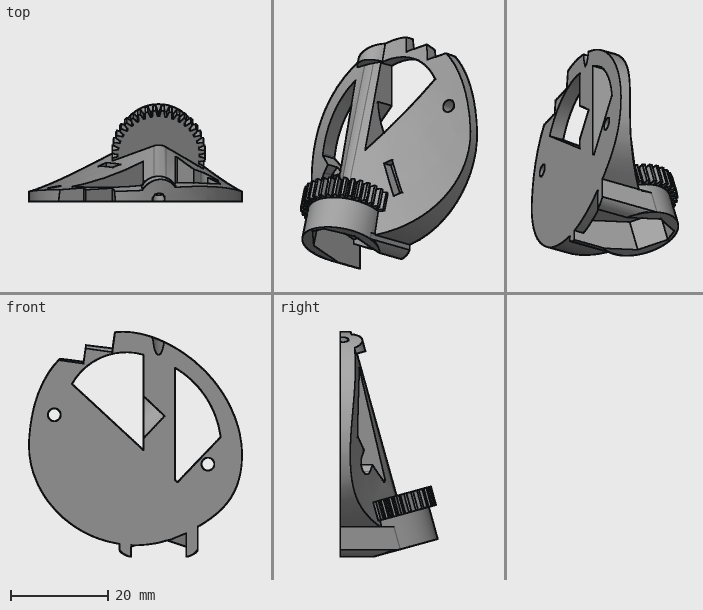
import cadquery as cq
import math

PLATE_THICKNESS = 2.05
PLATE_TOP = 46.25
OUTLINE = [
    (-26.6, 24.25), (-22.95, 11.75), (-15.15, 5.0), (-3.8, 2.4), (2.3, 3.5), (7.95, 6.1),
    (14.85, 12.1), (17.15, 21.5), (12.15, 35.1), (1.0, 44.2), (-7.4, PLATE_TOP), (-20.5, 40.45),
]
REACH = 55.48

TILT = 15.4
AXIS_Y = 12.3
AXIS_Z = 1.53
RIDGE_RADIUS = 2.3
ROOF_LENGTH = 46.45
ROOF_LEFT = -26.8
ROOF_RIGHT = 17.25

BOSS_RADIUS = 8.05
GEAR_BOTTOM = 6.85
GEAR_WIDTH = 3.98
GEAR_TEETH = 36
GEAR_TIP_RADIUS = 9.55
GEAR_ROOT_RADIUS = 8.35
TOOTH_TIP_SHARE = 0.35
TOOTH_ROOT_SHARE = 0.75

FOOT_INNER = 5.65
FOOT_TOP_LEFT = 2.85
FOOT_TOP_RIGHT = 6.15
POCKET_SHOULDER = 2.1
POCKET_BACK = 7.15
POCKET_BACK_HALF = 1.55

BUTTON_RADIUS = 3.98
BUTTON_BOTTOM = 41.1
PIN_RADIUS = 1.25
PIN_BOTTOM = 37.0

WEDGE_CORNER = (3.9, 15.35)
WEDGE_TURN = 46.6
BAR_LEFT = -3.1
BAR_RIGHT = 3.4
LEFT_WINDOW_ARC = [(-17.75, 35.5), (-9.52, 41.65), (BAR_LEFT, 41.45)]
RIGHT_WINDOW_ARC = [(BAR_RIGHT, 38.8), (9.52, 33.05), (12.65, 24.95)]
RIGHT_WINDOW_CORNER = (12.65, 24.55)

RECESS_LENGTH = 8.05
RECESS_RADIUS = 7.25
RECESS_OFFSET = 17.9
RECESS_Y = -2.9

SCREW_RADIUS = 1.3
LEFT_SCREW = (-21.4, 29.15)
RIGHT_SCREW = (10.12, 19.05)
HEAD_RADIUS = 2.1
HEAD_SLOT_RUN = 2.77

SLIT_CENTER = (-10.1, 15.02)
SLIT_LENGTH = 8.05
SLIT_WIDTH = 1.75
SLIT_TURN = 68.5
SLIT_FLOOR = 5.55

NOTCH_TURN = 8.0
NOTCHES = [((-9.5, 42.0), 0.29), ((-15.4, 39.65), 0.15)]
NOTCH_SIZE = 9.25

SIN = math.sin(math.radians(TILT))
COS = math.cos(math.radians(TILT))
WEDGE_COS = math.cos(math.radians(WEDGE_TURN))
WEDGE_SIN = math.sin(math.radians(WEDGE_TURN))


def front(y=0.0):
    """Sketch plane facing -Y at depth y; negative extrusion goes toward +Y."""
    return cq.Workplane("XZ", origin=(0, y, 0))


def tilted(height=0.0):
    """Sketch plane square to the tilted axis; its y points to the back."""
    origin = (0, AXIS_Y - height * SIN, AXIS_Z + height * COS)
    return cq.Workplane(cq.Plane(origin=origin, xDir=(1, 0, 0), normal=(0, -SIN, COS)))


def up_left_arm(start, distance):
    """XZ point reached from start by moving parallel to the left arm of the wedge."""
    return (start[0] - distance * WEDGE_SIN, start[1] + distance * WEDGE_COS)


def outline_prism():
    return front().spline(OUTLINE, periodic=True).close().extrude(-REACH)


def roof_section(height, edge, left, right, crown):
    """Section across the axis: two level edges joined over the ridge, run far forward."""
    sketch = (
        tilted(height)
        .moveTo(ROOF_LEFT, edge - REACH)
        .lineTo(ROOF_LEFT, edge)
        .lineTo(*left)
    )
    sketch = sketch.threePointArc(crown, right) if crown else sketch.lineTo(*right)
    return sketch.lineTo(ROOF_RIGHT, edge).lineTo(ROOF_RIGHT, edge - REACH).close().val()


def roof():
    """Ruled roof: an inclined ridge spreading to two edges level with the plate."""
    edge_low = (PLATE_THICKNESS - AXIS_Y) / COS
    edge_high = edge_low + ROOF_LENGTH * SIN / COS

    def tangent_point(corner_x, side):
        distance = math.hypot(corner_x, edge_low)
        angle = math.atan2(edge_low, corner_x) - side * math.acos(RIDGE_RADIUS / distance)
        return (RIDGE_RADIUS * math.cos(angle), RIDGE_RADIUS * math.sin(angle))

    left = tangent_point(ROOF_LEFT, 1)
    right = tangent_point(ROOF_RIGHT, -1)
    low = roof_section(0, edge_low, left, right, (0, RIDGE_RADIUS))
    high = roof_section(ROOF_LENGTH, edge_high, (left[0], edge_high), (right[0], edge_high), None)
    return cq.Workplane(cq.Solid.makeLoft([low, high], True))


def gear():
    """Spur gear with a tooth gap facing straight back."""
    pitch = 2 * math.pi / GEAR_TEETH
    points = []
    for tooth in range(GEAR_TEETH):
        middle = math.pi / 2 + (tooth + 0.5) * pitch
        for radius, offset in (
            (GEAR_ROOT_RADIUS, -TOOTH_ROOT_SHARE / 2),
            (GEAR_TIP_RADIUS, -TOOTH_TIP_SHARE / 2),
            (GEAR_TIP_RADIUS, TOOTH_TIP_SHARE / 2),
            (GEAR_ROOT_RADIUS, TOOTH_ROOT_SHARE / 2),
        ):
            angle = middle + offset * pitch
            points.append((radius * math.cos(angle), radius * math.sin(angle)))
    return tilted(GEAR_BOTTOM).polyline(points).close().extrude(GEAR_WIDTH)


def foot(side):
    """Foot whose lower end carries the boss rim straight forward to the front face."""
    def rim_point(x):
        return (x, AXIS_Z - SIN * math.sqrt(BOSS_RADIUS**2 - x**2))

    inner = side * FOOT_INNER
    outer = side * BOSS_RADIUS
    top = FOOT_TOP_RIGHT if side > 0 else FOOT_TOP_LEFT
    blank = (
        front()
        .moveTo(inner, top)
        .lineTo(*rim_point(inner))
        .threePointArc(rim_point((inner + outer) / 2), rim_point(outer))
        .lineTo(outer, top)
        .close()
        .extrude(-REACH)
    )
    front_half = tilted().center(0, -REACH / 2).rect(REACH, REACH).extrude(REACH)
    return blank.intersect(front_half)


def base_pocket():
    """Pocket up into the boss, open between the feet, with a tapered back."""
    return (
        tilted()
        .moveTo(-FOOT_INNER, -REACH)
        .lineTo(-FOOT_INNER, POCKET_SHOULDER)
        .lineTo(-POCKET_BACK_HALF, POCKET_BACK)
        .lineTo(POCKET_BACK_HALF, POCKET_BACK)
        .lineTo(FOOT_INNER, POCKET_SHOULDER)
        .lineTo(FOOT_INNER, -REACH)
        .close()
        .extrude(GEAR_BOTTOM)
    )


def windows():
    """The wedge on either side of the bar; its left arm meets both sides of the bar."""
    def on_left_arm(x):
        return up_left_arm(WEDGE_CORNER, (WEDGE_CORNER[0] - x) / WEDGE_SIN)

    left = (
        front()
        .moveTo(*on_left_arm(BAR_LEFT))
        .lineTo(*LEFT_WINDOW_ARC[0])
        .threePointArc(*LEFT_WINDOW_ARC[1:])
        .close()
        .extrude(-REACH)
    )
    right = (
        front()
        .moveTo(*WEDGE_CORNER)
        .lineTo(*on_left_arm(BAR_RIGHT))
        .lineTo(*RIGHT_WINDOW_ARC[0])
        .threePointArc(*RIGHT_WINDOW_ARC[1:])
        .lineTo(*RIGHT_WINDOW_CORNER)
        .close()
        .extrude(-REACH)
    )
    return left.union(right)


def bar_recess():
    """Cylinder lying along the right arm, cutting into the front of the bar."""
    x, z = up_left_arm(WEDGE_CORNER, RECESS_OFFSET)
    start = cq.Vector(x, RECESS_Y, z)
    along_right_arm = cq.Vector(WEDGE_COS, 0, WEDGE_SIN)
    return cq.Workplane(cq.Solid.makeCylinder(RECESS_RADIUS, RECESS_LENGTH, start, along_right_arm))


def screw_cuts():
    """Both screw holes, and a round-ended slot behind the plate at the right one."""
    holes = front().pushPoints([LEFT_SCREW, RIGHT_SCREW]).circle(SCREW_RADIUS).extrude(-REACH)
    head = front(PLATE_THICKNESS).moveTo(*RIGHT_SCREW).circle(HEAD_RADIUS).extrude(-REACH)
    slot = (
        front(PLATE_THICKNESS)
        .center(*up_left_arm(RIGHT_SCREW, HEAD_SLOT_RUN / 2))
        .transformed(rotate=(0, 0, WEDGE_TURN))
        .rect(2 * HEAD_RADIUS, HEAD_SLOT_RUN)
        .extrude(-REACH)
    )
    return holes.union(head).union(slot)


def roof_slit():
    return (
        front(SLIT_FLOOR)
        .center(*SLIT_CENTER)
        .transformed(rotate=(0, 0, SLIT_TURN))
        .rect(SLIT_LENGTH, SLIT_WIDTH)
        .extrude(-REACH)
    )


def notch(corner, rise):
    """Square notch turned about Y, its floor climbing toward the back."""
    turn = math.radians(NOTCH_TURN)
    along = cq.Vector(-math.cos(turn), math.sin(turn)) * NOTCH_SIZE
    up = cq.Vector(math.sin(turn), math.cos(turn)) * NOTCH_SIZE
    inner = cq.Vector(*corner)
    profile = front().polyline([inner, inner + along, inner + along + up, inner + up]).close()
    depth = cq.Vector(0, NOTCH_SIZE, NOTCH_SIZE * rise)
    return cq.Workplane(cq.Solid.extrudeLinear(profile.val(), [], depth))


slab = front().rect(2 * REACH, 2 * REACH).extrude(-PLATE_THICKNESS)
button = tilted(BUTTON_BOTTOM).circle(BUTTON_RADIUS).extrude(REACH)
pin_hole = tilted(PIN_BOTTOM).circle(PIN_RADIUS).extrude(REACH)
boss = tilted().circle(BOSS_RADIUS).extrude(GEAR_BOTTOM)

result = roof().union(slab).union(button).intersect(outline_prism())
result = result.cut(windows()).cut(bar_recess()).cut(screw_cuts()).cut(roof_slit()).cut(pin_hole)
for corner, rise in NOTCHES:
    result = result.cut(notch(corner, rise))
result = result.union(boss).cut(base_pocket().cut(slab))
result = result.union(gear()).union(foot(-1)).union(foot(1))